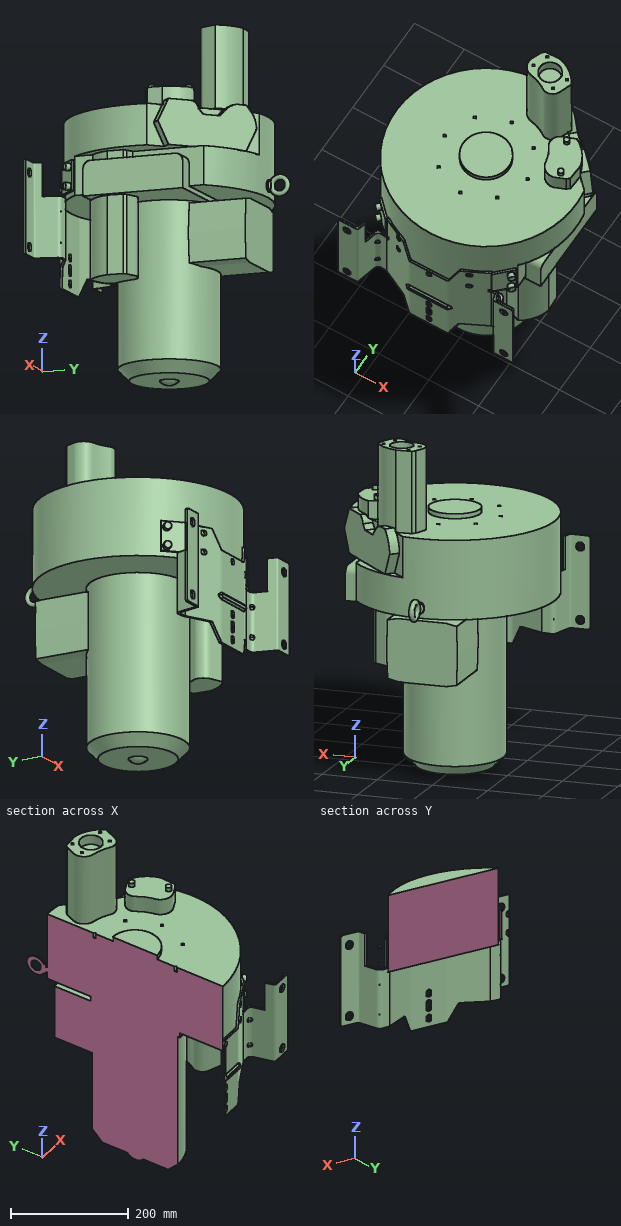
import math

import cadquery as cq


OVERALL_X = 362.67
OVERALL_Y = 419.71
OVERALL_Z = 600.39

DRUM_RADIUS = 180.6
DRUM_BOTTOM = -141.0
DRUM_STEP = -72.7
PORT_FLAT_DISTANCE = 147.6
SIDE_FLAT_X = 136.5
HUB_RADIUS = 45.5
HUB_HEIGHT = 8.5
COVER_HOLE_COUNT = 8
COVER_HOLE_CIRCLE = 83.2
COVER_HOLE_RADIUS = 2.5
COVER_HOLE_DEPTH = 10.0
MOTOR_RADIUS = 88.3
MOTOR_CONE_TOP = -427.0
MOTOR_CONE_BOTTOM = -447.0
MOTOR_END_RADIUS = 68.5
NOSE_RADIUS = 16.6
TALL_PORT_TOP = 145.8
NOSE_BOTTOM = TALL_PORT_TOP - OVERALL_Z

PORT_BACK = (123.0, 95.4)
PORT_BACK_ARC_MID = (146.0, 75.0)
PORT_SIDE_TOP = (157.0, 51.0)
PORT_SIDE_BOTTOM = (155.5, 22.0)
PORT_CORNER = (150.0, 17.2)
FRONT_LOBE_START = (130.5, 9.0)
FRONT_LOBE_MID = (112.5, 12.0)
FRONT_LOBE_END = (102.5, 27.0)
WAIST_MID = (97.0, 45.0)
BACK_LOBE_START = (88.0, 61.0)
BACK_LOBE_MID = (88.0, 75.0)
BACK_LOBE_END = (99.0, 86.0)
SHORT_PORT_TOP = 32.5
LOWER_PORT_BOTTOM = -288.4
BORE_CENTRE = (51.4, 124.4)
BORE_RADIUS = 20.5
BORE_DEPTH = 20.0
PORT_HOLES = [(30.8, 148.7), (19.8, 121.8), (83.6, 127.0), (72.5, 99.9)]
PORT_HOLE_RADIUS = 2.3
PORT_HOLE_DEPTH = 15.0
PORT_BOLTS = [(111.5, 81.0), (136.3, 22.0)]
PORT_BOLT_RADIUS = 5.2
PORT_BOLT_HEIGHT = 8.0

FLANGE_TOP = 7.5
FLANGE_FACE_DISTANCE = 166.0
FLANGE_TIP_X = OVERALL_X - DRUM_RADIUS
FLANGE_HALF_LENGTH = math.sqrt(2) * FLANGE_TIP_X - FLANGE_FACE_DISTANCE
FLANGE_FLAT_END = 72.0
FLANGE_VALLEY = -15.0
VALLEY_RIGHT = -7.0
VALLEY_LEFT = 23.0
RIGHT_HUMP_START = (-16.0, -6.0)
RIGHT_HUMP_ARC_MID = (-19.5, 2.5)
RIGHT_HUMP_FLAT = -27.0
LEFT_HUMP_START = (34.5, -3.0)
LEFT_HUMP_ARC_MID = (45.0, 4.8)
LEFT_HUMP_FLAT = 58.0
LEFT_END_ARC_MID = (85.0, -9.0)

BOX_HALF_WIDTH = 64.0
BOX_FACE_Y = 165.8
BOX_TOP = -149.8
BOX_BOTTOM = -262.0
BOX_DRAFT = 1.2
BOX_SLOPE_DROP = 4.0
BOX_SLOPE_RUN = 20.0
SIDE_BOX_HALF_WIDTH = 91.6
SIDE_BOX_FACE_X = 166.0
SIDE_BOX_TOP = -88.6
SIDE_BOX_EDGE_RADIUS = 13.5

EYE_TOP_Y = 222.51
EYE_Z = -121.8
EYE_RING_RADIUS = 14.4
EYE_WIRE_RADIUS = 4.9
EYE_COLLAR_RADIUS = 10.7
EYE_COLLAR_START = 183.2
EYE_COLLAR_LENGTH = 3.0
EYE_COLLAR_CONE = 3.0
EYE_NECK_RADIUS = 6.0

SHEET = 4.0
BRACKET_TOP = -78.2
BRACKET_BOTTOM = -244.7
CENTRE_TOP = -113.2
CENTRE_BOTTOM = -279.0
CENTRE_Y = -184.0
CENTRE_BEND_X = 38.5
WING_END = (104.5, -150.5)
FOOT_TIP_X = 175.2
FOOT_BACK_Y = EYE_TOP_Y - OVERALL_Y
FOOT_BEND_X = 137.0
HUMP_BEND = (125.5, -148.5)
BEND_RADIUS = 9.0
FOOT_BEND_RADIUS = 4.0
CENTRE_BEND_RADIUS = 14.0
SLANT_OUTER_X = 56.0
SLANT_INNER_X = 38.5
SLANT_CORNER_RADIUS = 4.0
TAB_BOTTOM = -131.7
RELIEF_BOTTOM = -137.3
RELIEF_X = 100.0
LEG_WINDOW_Y = -178.6
TAB_DISTANCE = 182.6
TAB_LENGTH_UP = 9.5
TAB_LENGTH_DOWN = 34.0
SCREW_LEVELS = [-89.2, -123.2]
TAB_BOLT_RADIUS = 6.5
TAB_BOLT_FACE = 194.0
WING_HOLE_X = 71.0
WING_HOLE_RADIUS = 5.0
FOOT_HOLE_X = 157.0
FOOT_HOLE_LEVELS = [-98.9, -228.8]
FOOT_HOLE_RADIUS = 7.5
SLOT_WIDTH = 10.5
SLOTS = [(-217.7, 13.0), (-240.0, 20.0), (-263.1, 13.0)]
BEAD_CENTRE = -195.3
BEAD_BASE = 17.0
BEAD_CREST = 6.0
BEAD_HEIGHT = 3.3
BEAD_HALF_LENGTH = 46.0
BEAD_CREST_HALF_LENGTH = 42.0
GUSSET_LEVELS = [-164.2, -218.5]
GUSSET_HEIGHT = 18.0
GUSSET_TAPER = 15.0
GUSSET_SIZE = 11.0
GUSSET_LEAN = 2.75


def cylinder(x, y, radius, bottom, top):
    return cq.Workplane("XY", origin=(x, y, bottom)).circle(radius).extrude(top - bottom)


def block(x_min, x_max, y_min, y_max, z_min, z_max):
    size = (x_max - x_min, y_max - y_min, z_max - z_min)
    return cq.Workplane("XY").box(*size, centered=False).translate((x_min, y_min, z_min))


def plane_at_45():
    """Plane through the axis whose normal faces +X +Y; local x runs towards -X +Y, local y is Z."""
    return cq.Plane(origin=(0, 0, 0), xDir=(-1, 1, 0), normal=(1, 1, 0))


def drum():
    upper = cylinder(0, 0, DRUM_RADIUS, DRUM_STEP, 0)
    beyond_flat = (
        cq.Workplane(plane_at_45())
        .workplane(offset=PORT_FLAT_DISTANCE)
        .rect(2 * DRUM_RADIUS, 2 * DRUM_RADIUS)
        .extrude(DRUM_RADIUS)
    )
    upper = upper.cut(beyond_flat)
    lower = cylinder(0, 0, DRUM_RADIUS, DRUM_BOTTOM, DRUM_STEP)
    lower = lower.intersect(
        block(-DRUM_RADIUS, SIDE_FLAT_X, -DRUM_RADIUS, DRUM_RADIUS, DRUM_BOTTOM, DRUM_STEP)
    )
    holes = (
        cq.Workplane("XY")
        .polarArray(COVER_HOLE_CIRCLE, 0, 360, COVER_HOLE_COUNT)
        .circle(COVER_HOLE_RADIUS)
        .extrude(-COVER_HOLE_DEPTH)
    )
    hub = cylinder(0, 0, HUB_RADIUS, 0, HUB_HEIGHT)
    return upper.union(lower).cut(holes).union(hub)


def motor():
    nose_height = MOTOR_CONE_BOTTOM - NOSE_BOTTOM
    dome_radius = (NOSE_RADIUS**2 + nose_height**2) / (2 * nose_height)
    half_angle = math.asin(NOSE_RADIUS / dome_radius) / 2
    nose_arc_mid = (
        dome_radius * math.sin(half_angle),
        NOSE_BOTTOM + dome_radius * (1 - math.cos(half_angle)),
    )
    return (
        cq.Workplane("XZ")
        .moveTo(0, DRUM_BOTTOM)
        .lineTo(MOTOR_RADIUS, DRUM_BOTTOM)
        .lineTo(MOTOR_RADIUS, MOTOR_CONE_TOP)
        .lineTo(MOTOR_END_RADIUS, MOTOR_CONE_BOTTOM)
        .lineTo(NOSE_RADIUS, MOTOR_CONE_BOTTOM)
        .threePointArc(nose_arc_mid, (0, NOSE_BOTTOM))
        .close()
        .revolve(360, (0, 0, 0), (0, 1, 0))
    )


def port_prism(bottom, top):
    """Kidney-shaped silencer body: two bolt lobes joined by a waist."""
    return (
        cq.Workplane("XY", origin=(0, 0, bottom))
        .moveTo(*PORT_BACK)
        .threePointArc(PORT_BACK_ARC_MID, PORT_SIDE_TOP)
        .lineTo(*PORT_SIDE_BOTTOM)
        .lineTo(*PORT_CORNER)
        .lineTo(*FRONT_LOBE_START)
        .threePointArc(FRONT_LOBE_MID, FRONT_LOBE_END)
        .threePointArc(WAIST_MID, BACK_LOBE_START)
        .threePointArc(BACK_LOBE_MID, BACK_LOBE_END)
        .close()
        .extrude(top - bottom)
    )


def tall_port():
    """Same outline as the short one, reflected across the line X = Y."""
    body = port_prism(0, TALL_PORT_TOP).mirror("XZ").rotate((0, 0, 0), (0, 0, 1), 90)
    bore_floor = TALL_PORT_TOP - BORE_DEPTH
    hole_floor = TALL_PORT_TOP - PORT_HOLE_DEPTH
    body = body.cut(cylinder(*BORE_CENTRE, BORE_RADIUS, bore_floor, TALL_PORT_TOP))
    for x, y in PORT_HOLES:
        body = body.cut(cylinder(x, y, PORT_HOLE_RADIUS, hole_floor, TALL_PORT_TOP))
    return body


def short_port():
    body = port_prism(0, SHORT_PORT_TOP)
    bolt_top = SHORT_PORT_TOP + PORT_BOLT_HEIGHT
    for x, y in PORT_BOLTS:
        body = body.union(cylinder(x, y, PORT_BOLT_RADIUS, SHORT_PORT_TOP, bolt_top))
    return body


def lower_port():
    """Same outline as the short one, reflected across Y = 0, hanging under the drum."""
    return port_prism(LOWER_PORT_BOTTOM, DRUM_STEP).mirror("XZ")


def port_flanges():
    """Two humped flanges with a valley between them, on the 45 degree flat."""
    middle = (FLANGE_TOP + DRUM_STEP) / 2
    return (
        cq.Workplane(plane_at_45())
        .workplane(offset=PORT_FLAT_DISTANCE)
        .moveTo(-FLANGE_HALF_LENGTH, middle)
        .lineTo(-FLANGE_FLAT_END, FLANGE_TOP)
        .lineTo(RIGHT_HUMP_FLAT, FLANGE_TOP)
        .threePointArc(RIGHT_HUMP_ARC_MID, RIGHT_HUMP_START)
        .lineTo(VALLEY_RIGHT, FLANGE_VALLEY)
        .lineTo(VALLEY_LEFT, FLANGE_VALLEY)
        .lineTo(*LEFT_HUMP_START)
        .threePointArc(LEFT_HUMP_ARC_MID, (LEFT_HUMP_FLAT, FLANGE_TOP))
        .lineTo(FLANGE_FLAT_END, FLANGE_TOP)
        .threePointArc(LEFT_END_ARC_MID, (FLANGE_HALF_LENGTH, middle))
        .lineTo(FLANGE_FLAT_END, DRUM_STEP)
        .lineTo(-FLANGE_FLAT_END, DRUM_STEP)
        .close()
        .extrude(FLANGE_FACE_DISTANCE - PORT_FLAT_DISTANCE)
    )


def terminal_box():
    edge_x = BOX_HALF_WIDTH - BOX_DRAFT
    flat_x = BOX_HALF_WIDTH - BOX_SLOPE_RUN
    side_top = BOX_TOP - BOX_SLOPE_DROP
    side_bottom = BOX_BOTTOM + BOX_SLOPE_DROP
    right_side = [
        (flat_x, BOX_TOP),
        (edge_x, side_top),
        (BOX_HALF_WIDTH, (BOX_TOP + BOX_BOTTOM) / 2),
        (edge_x, side_bottom),
        (flat_x, BOX_BOTTOM),
    ]
    left_side = [(-x, z) for x, z in reversed(right_side)]
    return cq.Workplane("XZ").polyline(right_side + left_side).close().extrude(-BOX_FACE_Y)


def side_box():
    half_width = SIDE_BOX_HALF_WIDTH
    body = block(0, SIDE_BOX_FACE_X, -half_width, half_width, BOX_TOP, SIDE_BOX_TOP)
    return body.edges("|X and >Z").fillet(SIDE_BOX_EDGE_RADIUS)


def lifting_eye():
    ring_y = EYE_TOP_Y - EYE_RING_RADIUS - EYE_WIRE_RADIUS
    collar_end = EYE_COLLAR_START + EYE_COLLAR_LENGTH
    centre = cq.Vector(0, ring_y, EYE_Z)
    axis = cq.Vector(1, 0, 0)
    ring = cq.Workplane(obj=cq.Solid.makeTorus(EYE_RING_RADIUS, EYE_WIRE_RADIUS, centre, axis))
    stem = (
        cq.Workplane("XY", origin=(0, 0, EYE_Z))
        .polyline(
            [
                (0, DRUM_RADIUS - EYE_NECK_RADIUS),
                (EYE_NECK_RADIUS, DRUM_RADIUS - EYE_NECK_RADIUS),
                (EYE_NECK_RADIUS, EYE_COLLAR_START),
                (EYE_COLLAR_RADIUS, EYE_COLLAR_START),
                (EYE_COLLAR_RADIUS, collar_end),
                (EYE_NECK_RADIUS, collar_end + EYE_COLLAR_CONE),
                (0, collar_end + EYE_COLLAR_CONE),
            ]
        )
        .close()
        .revolve(360, (0, 0, 0), (0, 1, 0))
    )
    return ring.union(stem)


def offset_path(path, distance):
    """Shift an open path sideways by a distance, with mitred corners."""
    shifted = []
    for i, (x, y) in enumerate(path):
        before = path[max(i - 1, 0)]
        after = path[min(i + 1, len(path) - 1)]
        here = (x, y)
        turn_in = math.atan2(y - before[1], x - before[0]) if before != here else None
        turn_out = math.atan2(after[1] - y, after[0] - x) if after != here else None
        turn_in = turn_out if turn_in is None else turn_in
        turn_out = turn_in if turn_out is None else turn_out
        mean = (turn_in + turn_out) / 2
        reach = distance / math.cos((turn_out - turn_in) / 2)
        shifted.append((x - reach * math.sin(mean), y + reach * math.cos(mean)))
    return shifted


def bracket_strip():
    """Right half of the bent sheet, at full height."""
    foot_y = FOOT_BACK_Y + SHEET / 2
    path = [
        (0, CENTRE_Y),
        (CENTRE_BEND_X, CENTRE_Y),
        WING_END,
        HUMP_BEND,
        (FOOT_BEND_X, foot_y),
        (FOOT_TIP_X, foot_y),
    ]
    outline = offset_path(path, SHEET / 2) + offset_path(path, -SHEET / 2)[::-1]
    strip = (
        cq.Workplane("XY", origin=(0, 0, CENTRE_BOTTOM))
        .polyline(outline)
        .close()
        .extrude(BRACKET_TOP - CENTRE_BOTTOM)
    )

    def edges_at(corner):
        x, y = corner
        return cq.selectors.BoxSelector(
            (x - SHEET, y - SHEET, CENTRE_BOTTOM - 1), (x + SHEET, y + SHEET, BRACKET_TOP + 1)
        )

    for corner, radius in [
        (path[1], CENTRE_BEND_RADIUS),
        (path[3], BEND_RADIUS),
        (path[4], FOOT_BEND_RADIUS),
    ]:
        strip = strip.edges("|Z").edges(edges_at(corner)).fillet(radius)
    return strip


def bracket_silhouette():
    """Right half of the sheet outline seen along Y."""
    plate = (
        cq.Workplane("XZ")
        .moveTo(0, CENTRE_TOP)
        .lineTo(SLANT_INNER_X, CENTRE_TOP)
        .lineTo(SLANT_OUTER_X, BRACKET_TOP)
        .lineTo(FOOT_TIP_X, BRACKET_TOP)
        .lineTo(FOOT_TIP_X, BRACKET_BOTTOM)
        .lineTo(SLANT_OUTER_X, BRACKET_BOTTOM)
        .lineTo(SLANT_INNER_X, CENTRE_BOTTOM)
        .lineTo(0, CENTRE_BOTTOM)
        .close()
        .extrude(-2 * FOOT_BACK_Y, both=True)
    )
    return plate.edges("|Y").edges("not <X").fillet(SLANT_CORNER_RADIUS)


def mounting_tab():
    """45 degree tab with two bolts, lying against the drum."""
    plane = cq.Plane(origin=(0, 0, 0), xDir=(1, 1, 0), normal=(1, -1, 0))
    tab = (
        cq.Workplane(plane)
        .workplane(offset=TAB_DISTANCE - SHEET / 2)
        .moveTo(-TAB_LENGTH_DOWN, TAB_BOTTOM)
        .lineTo(TAB_LENGTH_UP, TAB_BOTTOM)
        .lineTo(TAB_LENGTH_UP, BRACKET_TOP)
        .lineTo(-TAB_LENGTH_DOWN, BRACKET_TOP)
        .close()
        .extrude(SHEET)
    )
    bolts = (
        cq.Workplane(plane)
        .workplane(offset=TAB_DISTANCE)
        .pushPoints([(0, level) for level in SCREW_LEVELS])
        .circle(TAB_BOLT_RADIUS)
        .extrude(TAB_BOLT_FACE - TAB_DISTANCE)
    )
    return tab.union(bolts)


def gusset(level):
    """Wedge pressed into the hump bend."""
    return (
        cq.Workplane("XY", origin=(*HUMP_BEND, level))
        .polyline([(-GUSSET_SIZE, 0), (0, 0), (GUSSET_LEAN, -GUSSET_SIZE)])
        .close()
        .extrude(GUSSET_HEIGHT / 2, both=True, taper=GUSSET_TAPER)
    )


def cutter_along_y(x, levels, radius):
    return (
        cq.Workplane("XZ")
        .pushPoints([(x, level) for level in levels])
        .circle(radius)
        .extrude(2 * DRUM_RADIUS)
    )


def half_bracket():
    half = bracket_strip().intersect(bracket_silhouette())
    half = half.cut(block(RELIEF_X, FOOT_TIP_X, LEG_WINDOW_Y, 0, RELIEF_BOTTOM, TAB_BOTTOM))
    half = half.cut(block(WING_END[0], FOOT_TIP_X, LEG_WINDOW_Y, 0, RELIEF_BOTTOM, BRACKET_TOP))
    half = half.cut(cutter_along_y(WING_HOLE_X, SCREW_LEVELS, WING_HOLE_RADIUS))
    half = half.cut(cutter_along_y(FOOT_HOLE_X, FOOT_HOLE_LEVELS, FOOT_HOLE_RADIUS))
    half = half.union(mounting_tab())
    for level in GUSSET_LEVELS:
        half = half.union(gusset(level))
    return half


def pointed_bar(half_length, width):
    """Corners of a flat bar whose ends come to a point."""
    shoulder = half_length - width / 2
    return [
        (half_length, 0),
        (shoulder, width / 2),
        (-shoulder, width / 2),
        (-half_length, 0),
        (-shoulder, -width / 2),
        (shoulder, -width / 2),
    ]


def bead():
    """Raised bar across the centre plate with pointed ends."""
    return (
        cq.Workplane("XZ", origin=(0, CENTRE_Y, BEAD_CENTRE))
        .polyline(pointed_bar(BEAD_HALF_LENGTH, BEAD_BASE))
        .close()
        .workplane(offset=SHEET / 2 + BEAD_HEIGHT)
        .polyline(pointed_bar(BEAD_CREST_HALF_LENGTH, BEAD_CREST))
        .close()
        .loft(ruled=True)
    )


def bracket():
    half = half_bracket()
    whole = half.union(half.mirror("YZ"))
    whole = whole.cut(cutter_along_y(0, SCREW_LEVELS[1:], WING_HOLE_RADIUS))
    for level, length in SLOTS:
        slot = (
            cq.Workplane("XZ", origin=(0, 0, level))
            .slot2D(length, SLOT_WIDTH, 90)
            .extrude(2 * DRUM_RADIUS)
        )
        whole = whole.cut(slot)
    return whole.union(bead())


result = drum()
for component in (
    motor(),
    tall_port(),
    short_port(),
    lower_port(),
    port_flanges(),
    terminal_box(),
    side_box(),
    lifting_eye(),
    bracket(),
):
    result = result.union(component)